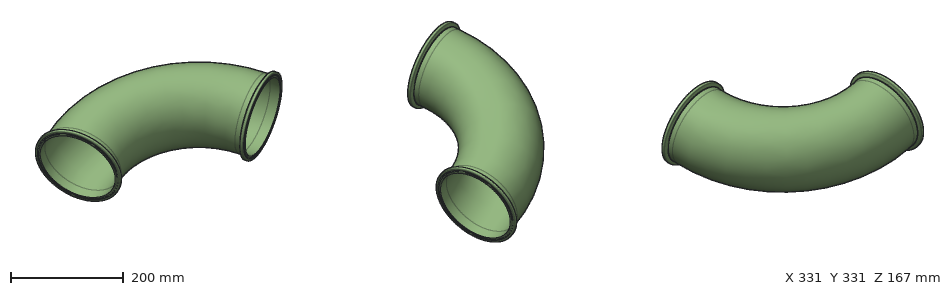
import cadquery as cq

overall_length = 331.0
tube_outer_diameter = 152.3
tube_bore_diameter = 147.0
flange_diameter = 167.0
bend_radius = 1.5 * tube_outer_diameter

rim_thickness = 6.3
neck_distance = 9.0
rim_fillet = 0.83
neck_fillet = 0.83

groove_mean_diameter = 156.0
groove_width = 2.5
groove_depth = 1.0
groove_lip_fillet = 0.83

tube_outer_radius = tube_outer_diameter / 2
tube_bore_radius = tube_bore_diameter / 2
flange_radius = flange_diameter / 2
groove_inner_radius = (groove_mean_diameter - groove_width) / 2
groove_outer_radius = (groove_mean_diameter + groove_width) / 2
face_distance = overall_length - flange_radius
straight_length = face_distance - bend_radius

selection_margin = 0.3


def rings_between(y_start, y_end, radius):
    """Select the edges lying wholly between two heights on the Y axis and inside a radius."""
    reach = radius + selection_margin
    return cq.selectors.BoxSelector(
        (-reach, y_start - selection_margin, -reach),
        (reach, y_end + selection_margin, reach),
        boundingbox=True,
    )


def make_flanged_end():
    """Straight tube end with its clamp flange, axis along +Y, flange face on Y = 0."""
    body = (
        cq.Workplane("XY")
        .lineTo(flange_radius, 0)
        .lineTo(flange_radius, rim_thickness)
        .lineTo(tube_outer_radius, neck_distance)
        .lineTo(tube_outer_radius, straight_length)
        .lineTo(0, straight_length)
        .close()
        .revolve(360, (0, 0), (0, 1))
    )
    body = body.edges("%CIRCLE").edges(rings_between(0, rim_thickness, flange_radius)).fillet(rim_fillet)
    body = body.edges(rings_between(neck_distance, neck_distance, tube_outer_radius)).fillet(neck_fillet)

    gasket_groove = (
        cq.Workplane("XY")
        .moveTo(groove_inner_radius, 0)
        .threePointArc((groove_mean_diameter / 2, groove_depth), (groove_outer_radius, 0))
        .close()
        .revolve(360, (0, 0), (0, 1))
    )
    body = body.cut(gasket_groove)
    body = body.edges(rings_between(0, 0, groove_outer_radius)).fillet(groove_lip_fillet)

    bore = cq.Workplane("XZ").circle(tube_bore_radius).extrude(-straight_length)
    return body.cut(bore)


def make_bend():
    """Quarter-turn tube from the end of the first straight to the start of the second."""
    return (
        cq.Workplane("XZ", origin=(0, straight_length, 0))
        .circle(tube_outer_radius)
        .circle(tube_bore_radius)
        .revolve(90, (bend_radius, 0), (bend_radius, -1))
    )


near_end = make_flanged_end()

far_end = near_end.rotate((0, 0, 0), (0, 0, 1), 90).translate((face_distance, face_distance, 0))

result = make_bend().union(near_end).union(far_end)